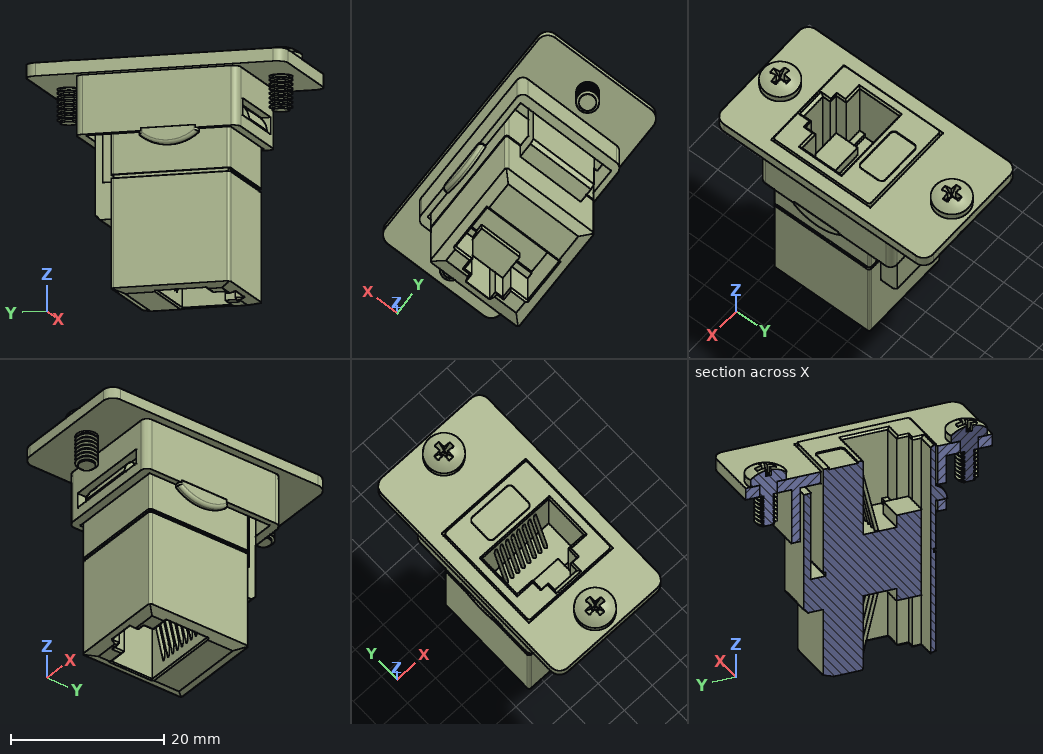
import cadquery as cq
import math


plate_width = 19.05
plate_length = 35.55
plate_thickness = 1.78
plate_corner_radius = 1.6

collar_width = 16.7
collar_length = 22.3
collar_corner_radius = 1.03
collar_bottom = -9.7

fit_gap = 0.18
opening_back_gap = 0.3

window_width = 12.65
window_top = -5.75
window_bottom = -8.05

tab_half_width = 4.02
tab_top = -9.35
tab_side_bottom = -10.17
tab_bottom = -11.63
tab_proud = 0.05
tab_edge_radius = 0.5

jack_width = 14.65
jack_front = -9.67
jack_back = 6.58
jack_top = 0.3
jack_bottom = -30.75
jack_corner_radius = 0.4
jack_length = jack_back - jack_front
jack_center_y = (jack_back + jack_front) / 2
jack_mid_z = (jack_top + jack_bottom) / 2

bottom_bevel_height = 0.55
bottom_bevel_inset = 1.53

groove_top = -15.08
groove_width = 0.5
groove_depth = 0.32

label_width = 7.3
label_length = 4.12
label_center_y = 3.65
label_depth = 0.2
label_corner_radius = 0.6

port_floor = -10.67
port_lead_depth = 0.3
port_back = 0.8
port_half_width = 5.95
port_body_front = -5.9
key_half_width = 3.15
key_front = -7.6
clip_half_width = 1.95
clip_front = -8.85

mouth_back = 0.95
mouth_half_width = 6.22
mouth_body_front = -6.22
mouth_key_half_width = 3.4
mouth_key_front = -7.7
mouth_clip_half_width = 2.25
mouth_clip_front = -9.4

stop_back = -4.0
stop_height = 1.78
step_back = -5.0
step_height = 0.7

contact_count = 8
contact_pitch = 1.0
contact_radius = 0.25
contact_top_z = -2.55
contact_foot_y = -1.25
contact_overrun = 0.2

arm_width = 10.03
arm_inner = 8.32
arm_outer = 9.4
arm_top = -2.85
arm_foot_top = -15.58
arm_foot_bottom = -20.52
arm_chamfer = 0.65

lug_width = 8.07
lug_tip = -11.35
lug_bulge_y = -10.85
lug_bulge_z = -6.72
lug_crown_top = -5.8
lug_crown_drop = 0.35

screw_spacing = 28.9
screw_head_radius = 2.77
screw_rim_height = 1.05
screw_dome_height = 1.03
screw_tip = -6.3
thread_radius = 1.53
thread_root_radius = 1.15
thread_pitch = 0.6
thread_first_crest = -2.25
thread_count = 7
thread_half_base = 0.18
thread_half_crest = 0.018
recess_half_span = 1.55
recess_floor_half_span = 0.18
recess_slot_width = 0.75
recess_floor = 0.18


def block(x_size, y_min, y_max, z_min, z_max):
    """Box centred on X = 0."""
    return (
        cq.Workplane("XY")
        .box(x_size, y_max - y_min, z_max - z_min, centered=(True, False, False))
        .translate((0, y_min, z_min))
    )


def make_tab():
    """Arc-bottomed finger tab on the +X side of the collar."""
    inner_x = jack_width / 2 + fit_gap
    outer_x = collar_width / 2 + tab_proud
    return (
        cq.Workplane("YZ", origin=(inner_x, jack_center_y, 0))
        .moveTo(-tab_half_width, tab_top)
        .lineTo(-tab_half_width, tab_side_bottom)
        .threePointArc((0, tab_bottom), (tab_half_width, tab_side_bottom))
        .lineTo(tab_half_width, tab_top)
        .close()
        .extrude(outer_x - inner_x)
        .faces(">X")
        .edges("not >Z")
        .fillet(tab_edge_radius)
    )


def make_panel():
    opening_width = jack_width + 2 * fit_gap
    opening_front = jack_front - fit_gap
    opening_back = jack_back + opening_back_gap

    plate = block(plate_width, -plate_length / 2, plate_length / 2, -plate_thickness, 0)
    plate = plate.edges("|Z").fillet(plate_corner_radius)
    plate = plate.cut(block(opening_width, opening_front, opening_back, -plate_thickness, 0))
    holes = (
        cq.Workplane("XY")
        .rarray(0.35, screw_spacing, 1, 2)
        .circle(thread_radius)
        .extrude(-plate_thickness)
    )
    plate = plate.cut(holes)

    collar = block(collar_width, -collar_length / 2, collar_length / 2, collar_bottom, -plate_thickness)
    collar = collar.edges("|Z").fillet(collar_corner_radius)
    collar = collar.cut(block(opening_width, opening_front, -opening_front, collar_bottom, -plate_thickness))
    collar = collar.cut(block(window_width, -collar_length / 2, opening_front, window_bottom, window_top))

    tab = make_tab()
    return plate.union(collar).union(tab).union(tab.mirror("YZ"))


def port_outline(z, back, half_width, body_front, key_half, key_end, clip_half, clip_end):
    """Stepped port outline at height z, symmetric in X."""
    right_side = [
        (half_width, back),
        (half_width, body_front),
        (key_half, body_front),
        (key_half, key_end),
        (clip_half, key_end),
        (clip_half, clip_end),
    ]
    left_side = [(-x, y) for x, y in reversed(right_side)]
    points = [cq.Vector(x, y, z) for x, y in right_side + left_side]
    return cq.Wire.makePolygon(points, close=True)


def inner_outline(z):
    return port_outline(
        z, port_back, port_half_width, port_body_front, key_half_width, key_front, clip_half_width, clip_front
    )


def make_port():
    """Cavity of the top port, with its stop, step and contacts left standing."""
    mouth = port_outline(
        jack_top, mouth_back, mouth_half_width, mouth_body_front, mouth_key_half_width, mouth_key_front,
        mouth_clip_half_width, mouth_clip_front,
    )
    lead_bottom = jack_top - port_lead_depth
    lead_in = cq.Workplane(cq.Solid.makeLoft([mouth, inner_outline(lead_bottom)], True))
    shaft = cq.Solid.extrudeLinear(inner_outline(lead_bottom), [], cq.Vector(0, 0, port_floor - lead_bottom))
    cavity = lead_in.union(cq.Workplane(shaft))

    stop = block(2 * key_half_width, key_front, stop_back, port_floor, port_floor + stop_height)
    step = block(2 * port_half_width, port_body_front, step_back, port_floor, port_floor + step_height)
    cavity = cavity.cut(stop).cut(step)

    run = cq.Vector(0, contact_foot_y - port_back, port_floor - contact_top_z)
    for i in range(contact_count):
        x = (i - (contact_count - 1) / 2) * contact_pitch
        start = cq.Vector(x, port_back, contact_top_z) - run * contact_overrun
        contact = cq.Solid.makeCylinder(contact_radius, run.Length * (1 + 2 * contact_overrun), start, run)
        cavity = cavity.cut(cq.Workplane(contact))
    return cavity


def make_jack_body():
    body = block(jack_width, jack_front, jack_back, jack_bottom, jack_top)
    body = body.edges("|Z").fillet(jack_corner_radius)

    bevel_top = jack_bottom + bottom_bevel_height
    frustum = (
        cq.Workplane("XY", origin=(0, jack_center_y, jack_bottom))
        .rect(jack_width - 2 * bottom_bevel_inset, jack_length - 2 * bottom_bevel_inset)
        .workplane(offset=bottom_bevel_height)
        .rect(jack_width, jack_length)
        .loft(ruled=True)
    )
    envelope = frustum.union(block(jack_width, jack_front, jack_back, bevel_top, jack_top))
    body = body.intersect(envelope)

    groove = block(jack_width, jack_front, jack_back, groove_top - groove_width, groove_top)
    core = block(
        jack_width - 2 * groove_depth, jack_front + groove_depth, jack_back - groove_depth,
        groove_top - groove_width, groove_top,
    )
    return body.cut(groove.cut(core))


def make_label_recess():
    label_half = label_length / 2
    recess = block(
        label_width, label_center_y - label_half, label_center_y + label_half, jack_top - label_depth, jack_top
    )
    return recess.edges("|Z").fillet(label_corner_radius)


def make_latch_arm():
    """Flexible arm behind the jack, rising from a foot into the collar."""
    profile = [
        (jack_back, arm_foot_top),
        (arm_inner, arm_foot_top),
        (arm_inner, arm_top),
        (arm_outer, arm_top),
        (arm_outer, arm_foot_bottom + arm_chamfer),
        (arm_outer - arm_chamfer, arm_foot_bottom),
        (jack_back, arm_foot_bottom),
    ]
    return cq.Workplane("YZ").polyline(profile).close().extrude(arm_width / 2, both=True)


def make_lug():
    """Bulged catch on the jack front that fills part of the collar window."""
    bulge = (
        cq.Workplane("YZ")
        .moveTo(jack_front, lug_crown_top)
        .threePointArc((lug_bulge_y, lug_bulge_z), (lug_tip, window_bottom))
        .lineTo(jack_front, window_bottom)
        .close()
        .extrude(lug_width / 2, both=True)
    )
    crown_side = lug_crown_top - lug_crown_drop
    crown = (
        cq.Workplane("XZ", origin=(0, jack_front, 0))
        .moveTo(-lug_width / 2, window_bottom)
        .lineTo(-lug_width / 2, crown_side)
        .threePointArc((0, lug_crown_top), (lug_width / 2, crown_side))
        .lineTo(lug_width / 2, window_bottom)
        .close()
        .extrude(jack_front - lug_tip)
    )
    return bulge.intersect(crown)


def make_jack():
    port = make_port()
    lower_port = port.mirror("XY", (0, 0, jack_mid_z))
    clip_slot = block(2 * clip_half_width, clip_front, key_front, jack_bottom, jack_top)
    return (
        make_jack_body()
        .cut(port)
        .cut(lower_port)
        .cut(clip_slot)
        .cut(make_label_recess())
        .union(make_latch_arm())
        .union(make_lug())
    )


def make_screw():
    """Pan head screw on the Z axis with ring-shaped thread crests."""
    dome_radius = (screw_head_radius**2 + screw_dome_height**2) / (2 * screw_dome_height)
    head_top = screw_rim_height + screw_dome_height
    dome_center = head_top - dome_radius
    mid_radius = screw_head_radius / 2
    dome_mid = (mid_radius, dome_center + math.sqrt(dome_radius**2 - mid_radius**2))

    profile = (
        cq.Workplane("XZ")
        .moveTo(0, head_top)
        .threePointArc(dome_mid, (screw_head_radius, screw_rim_height))
        .lineTo(screw_head_radius, 0)
        .lineTo(thread_radius, 0)
        .lineTo(thread_radius, -plate_thickness)
        .lineTo(thread_root_radius, -plate_thickness)
    )
    for i in range(thread_count):
        crest = thread_first_crest - i * thread_pitch
        profile = (
            profile
            .lineTo(thread_root_radius, crest + thread_half_base)
            .lineTo(thread_radius, crest + thread_half_crest)
            .lineTo(thread_radius, crest - thread_half_crest)
            .lineTo(thread_root_radius, crest - thread_half_base)
        )
    screw = (
        profile
        .lineTo(thread_root_radius, screw_tip)
        .lineTo(0, screw_tip)
        .close()
        .revolve(360, (0, 0, 0), (0, 1, 0))
    )

    slot = (
        cq.Workplane("XZ")
        .moveTo(-recess_half_span, head_top)
        .lineTo(-recess_floor_half_span, recess_floor)
        .lineTo(recess_floor_half_span, recess_floor)
        .lineTo(recess_half_span, head_top)
        .close()
        .extrude(recess_slot_width / 2, both=True)
    )
    return screw.cut(slot).cut(slot.rotate((0, 0, 0), (0, 0, 1), 90))


panel = make_panel()
jack = make_jack()
screws = [make_screw().translate((0, side * screw_spacing / 2, 0)) for side in (-1, 1)]

result = cq.Compound.makeCompound([panel.val(), jack.val(), *[screw.val() for screw in screws]])